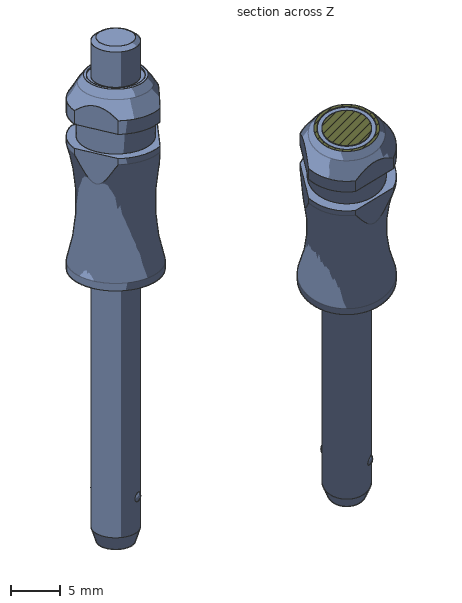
import cadquery as cq

length = 57.2
pin_radius = 2.5
handle_radius = 10.0 / 2
waist_radius = 4.0

tip_height = 1.6
tip_radius = 2.0
handle_bottom = 30.95
flare_bottom = 31.8
flare_top = 45.3
waist_height = (flare_bottom + flare_top) / 2
groove_bottom = 46.0
groove_top = 48.75
shoulder_bottom = 50.3
shoulder_break = 52.1
shoulder_break_radius = 3.9
collar_top = 52.95
collar_rim_radius = 3.25

recess_radius = 3.0
recess_depth = 0.2

button_chamfer_width = 0.5
button_chamfer_height = 0.4

flat_count = 3
flat_distance = 4.35
flat_first_angle = -90.0

ball_radius = 0.7
ball_reach = 2.75
ball_height = 5.55


def make_handle():
    """Turned handle with a waist, a groove and a tapered shoulder."""
    return (
        cq.Workplane("XZ")
        .moveTo(0, handle_bottom)
        .lineTo(handle_radius, handle_bottom)
        .lineTo(handle_radius, flare_bottom)
        .threePointArc((waist_radius, waist_height), (handle_radius, flare_top))
        .lineTo(handle_radius, groove_bottom)
        .lineTo(waist_radius, groove_bottom)
        .lineTo(waist_radius, groove_top)
        .lineTo(handle_radius, groove_top)
        .lineTo(handle_radius, shoulder_bottom)
        .lineTo(shoulder_break_radius, shoulder_break)
        .lineTo(collar_rim_radius, collar_top)
        .lineTo(recess_radius, collar_top)
        .lineTo(recess_radius, collar_top - recess_depth)
        .lineTo(0, collar_top - recess_depth)
        .close()
        .revolve(360, (0, 0), (0, 1))
    )


def make_pin():
    """Shank with a tapered tip, continuing through the handle as the push button."""
    return (
        cq.Workplane("XZ")
        .moveTo(0, 0)
        .lineTo(tip_radius, 0)
        .lineTo(pin_radius, tip_height)
        .lineTo(pin_radius, length - button_chamfer_height)
        .lineTo(pin_radius - button_chamfer_width, length)
        .lineTo(0, length)
        .close()
        .revolve(360, (0, 0), (0, 1))
    )


def cut_flats(body):
    """Cut equally spaced flats parallel to the axis, above the waist."""
    cutter = (
        cq.Workplane("XY")
        .box(handle_radius, 2 * handle_radius, length - waist_height, centered=(False, True, False))
        .translate((flat_distance, 0, waist_height))
    )
    for index in range(flat_count):
        angle = flat_first_angle + index * 360 / flat_count
        body = body.cut(cutter.rotate((0, 0, 0), (0, 0, 1), angle))
    return body


def make_ball(side):
    """Locking ball seated in the shank on the +X or -X side."""
    center = (side * (ball_reach - ball_radius), 0, ball_height)
    return cq.Workplane("XY").sphere(ball_radius).translate(center)


result = cut_flats(make_handle()).union(make_pin())
for side in (-1, 1):
    result = result.union(make_ball(side))